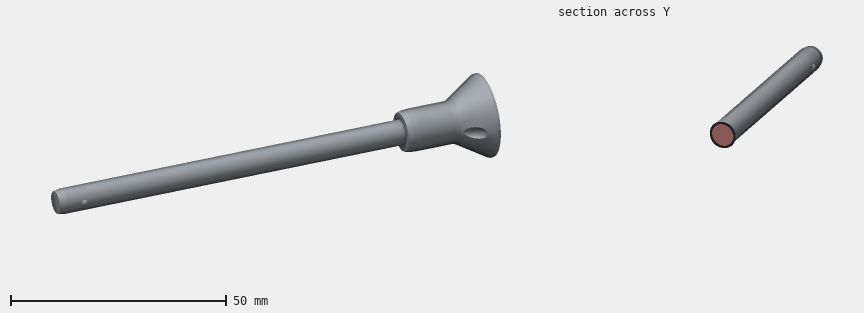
import cadquery as cq

length = 108.0

head_radius = 20.0 / 2
rim_thickness = 0.5
cone_end = 8.2
neck_start = 9.2
cone_end_radius = 5.3

grip_radius = 5.1
nose_start = 18.0
nose_chamfer_start = 19.7
nose_end = 21.0
nose_shoulder_radius = 5.0
nose_end_radius = 4.6

shaft_radius = 3.0
tip_length = 1.7
tip_radius = 2.7

ball_radius = 1.0
ball_reach = 3.5
ball_from_tip = 6.2

hole_diameter = 3.0
hole_offset = 7.2


def make_body():
    """Revolve the half profile of head, grip and shaft about Y."""
    return (
        cq.Workplane("XY")
        .lineTo(head_radius, 0)
        .lineTo(head_radius, -rim_thickness)
        .lineTo(cone_end_radius, -cone_end)
        .lineTo(grip_radius, -neck_start)
        .lineTo(grip_radius, -nose_start)
        .lineTo(nose_shoulder_radius, -nose_chamfer_start)
        .lineTo(nose_end_radius, -nose_end)
        .lineTo(shaft_radius, -nose_end)
        .lineTo(shaft_radius, tip_length - length)
        .lineTo(tip_radius, -length)
        .lineTo(0, -length)
        .close()
        .revolve(360, (0, 0), (0, 1))
    )


def make_ball(side):
    """Make a locking ball on the +X (side = 1) or -X (side = -1) flank."""
    center_x = side * (ball_reach - ball_radius)
    return cq.Workplane("XY").sphere(ball_radius).translate((center_x, ball_from_tip - length, 0))


def make_lanyard_hole():
    """Make the cutter for the hole parallel to the pin axis."""
    return cq.Workplane("XZ").center(hole_offset, 0).circle(hole_diameter / 2).extrude(cone_end)


result = make_body().cut(make_lanyard_hole())
for side in (-1, 1):
    result = result.union(make_ball(side))